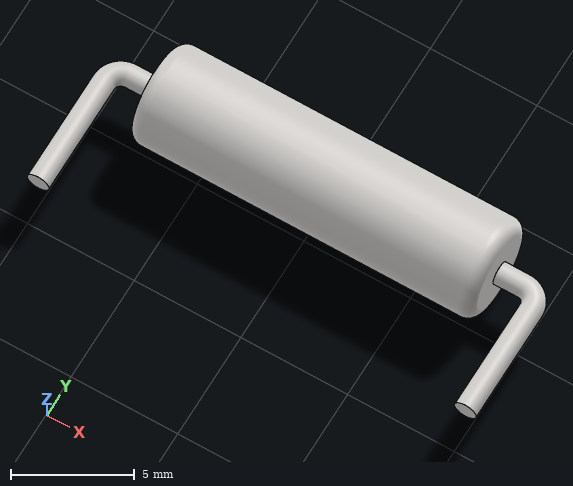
import cadquery as cq

overall_length = 21.05
overall_depth = 8.3
body_diameter = 4.6

body_length = 16.13
body_edge_radius = 0.6

wire_diameter = 1.03
bend_radius = 0.8

body_radius = body_diameter / 2
lead_x = (overall_length - wire_diameter) / 2
lead_tip_y = body_radius - overall_depth
bend_start_x = lead_x - bend_radius
bend_mid_offset = bend_radius * 0.5 ** 0.5


def make_body():
    """Cylinder with both end edges rounded."""
    return (
        cq.Workplane("YZ", origin=(-body_length / 2, 0, 0))
        .circle(body_radius)
        .extrude(body_length)
        .edges("%CIRCLE")
        .fillet(body_edge_radius)
    )


def make_lead():
    """Lead on the +X end, starting at the body centre so that it fuses with the body."""
    bend_middle = (bend_start_x + bend_mid_offset, bend_mid_offset - bend_radius)
    path = (
        cq.Workplane("XY")
        .lineTo(bend_start_x, 0)
        .threePointArc(bend_middle, (lead_x, -bend_radius))
        .lineTo(lead_x, lead_tip_y)
    )
    return cq.Workplane("YZ").circle(wire_diameter / 2).sweep(path)


lead = make_lead()
result = make_body().union(lead).union(lead.mirror("YZ"))